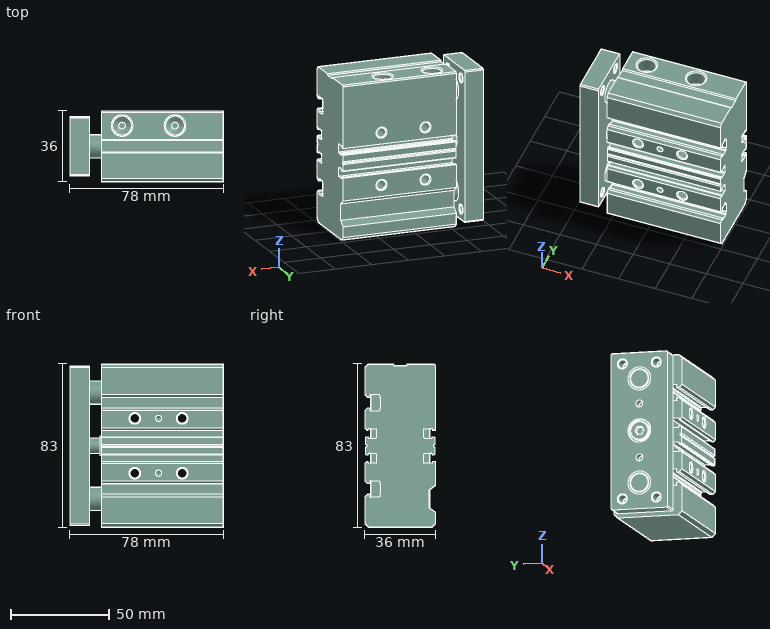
import cadquery as cq
import math


housing_length = 62.0
housing_width = 36.0
housing_height = 83.0
half_width = housing_width / 2
half_height = housing_height / 2

plate_gap = 6.0
plate_thickness = 10.05
plate_width = 30.05
plate_height = 81.0
plate_edge_chamfer = 0.7
plate_back = -plate_gap
plate_front = plate_back - plate_thickness

guide_offset = 27.0
guide_radius = 6.0
guide_ring_inner = 4.6
guide_ring_outer = 5.0
guide_ring_depth = 0.25
piston_radius = 4.0
rod_insertion = 41.5

head_radius = 4.9
head_height = 6.0
head_chamfer = 0.3
head_relief_radius = 6.0
head_relief_depth = 2.0
socket_across_corners = 4.6
socket_depth = 2.5

collar_radius = 5.0
collar_length = 0.8

slotted_side_top_chamfer = 1.7
plain_side_top_chamfer = 0.75
bottom_chamfer = 1.9

wide_slot_offset = 21.9
wide_mouth_half = 2.65
wide_mouth_chamfer = 1.4
wide_lip = 2.8
wide_inner_half = 4.15
wide_depth = 7.6
wide_corner_chamfer = 0.4
wide_floor_groove_half = 2.6
wide_floor_groove_depth = 0.4

rail_setback = 0.3
rail_half = 4.6
rail_edge_chamfer = 0.4
rail_lip_slope = 0.5
narrow_mouth_top = 7.9
narrow_mouth_chamfer = 1.2
narrow_lip = 1.7
narrow_inner_bottom = 3.8
narrow_inner_top = 8.6
narrow_depth = 6.1
narrow_corner_chamfer = 0.5
rail_notch_depth = 0.75
rail_notch_half = 0.75
rail_notch_floor_half = 0.3

top_groove_half = 3.5
top_groove_floor_half = 3.0
top_groove_depth = 0.75
side_groove_half = 6.9
side_groove_floor_half = 4.4
side_groove_depth = 3.3

drill_tip_angle = 120.0
cross_hole_level = 13.95
pin_hole_x = 29.0
cross_hole_spacing = 12.0
cross_hole_diameter = 4.9
cross_hole_mouth = 5.9
housing_pin_diameter = 3.15
plate_pin_diameter = 3.6
pin_hole_depth = 5.8
port_y = 10.5
port_positions = (10.45, 37.35)
port_mouth_diameter = 10.95
port_diameter = 9.6
port_depth = 8.3
port_bore_diameter = 3.4
port_bore_depth = 11.6
plate_bolt_y = 9.0
plate_bolt_z = 34.95
plate_bolt_diameter = 4.4
plate_bolt_mouth = 5.2


def along_x(points, x_start, x_end):
    """Prism of a (y, z) outline between two X positions."""
    return cq.Workplane("YZ").workplane(offset=x_start).polyline(points).close().extrude(x_end - x_start)


def rod_between(x_start, x_end, radius, z=0.0):
    """Cylinder parallel to X at height z."""
    return cq.Workplane("YZ").workplane(offset=x_start).center(0, z).circle(radius).extrude(x_end - x_start)


def drill(outline, position, direction):
    """Turned cutter: (radius, depth) points, entering at position along direction."""
    cutter = cq.Workplane("XZ").polyline([(0, 0), *outline]).close().revolve(360, (0, 0, 0), (0, 1, 0))
    return cutter.val().moved(cq.Location(cq.Plane(origin=position, normal=direction)))


def tip_length(diameter):
    """Length of a drill point of the given diameter."""
    return diameter / 2 / math.tan(math.radians(drill_tip_angle / 2))


def blind_outline(diameter, depth):
    """Straight hole that ends in a drill point."""
    return [(diameter / 2, 0), (diameter / 2, depth), (0, depth + tip_length(diameter))]


def chamfered_through_outline(diameter, mouth, depth):
    """Straight hole with a 45 degree chamfer at its entry and exit."""
    chamfer = (mouth - diameter) / 2
    return [
        (mouth / 2, 0),
        (diameter / 2, chamfer),
        (diameter / 2, depth - chamfer),
        (mouth / 2, depth),
        (0, depth),
    ]


def housing_block():
    """Extruded body with its corner chamfers."""
    outline = [
        (-half_width, -half_height + bottom_chamfer),
        (-half_width, half_height - slotted_side_top_chamfer),
        (-half_width + slotted_side_top_chamfer, half_height),
        (half_width - plain_side_top_chamfer, half_height),
        (half_width, half_height - plain_side_top_chamfer),
        (half_width, -half_height + bottom_chamfer),
        (half_width - bottom_chamfer, -half_height),
        (-half_width + bottom_chamfer, -half_height),
    ]
    return along_x(outline, 0, housing_length)


def wide_slot(level):
    """T-slot on the -Y side with a chamfered mouth and a shallow groove in its floor."""
    upper_half = [
        (0, wide_mouth_half + wide_mouth_chamfer),
        (wide_mouth_chamfer, wide_mouth_half),
        (wide_lip, wide_mouth_half),
        (wide_lip, wide_inner_half),
        (wide_depth - wide_corner_chamfer, wide_inner_half),
        (wide_depth, wide_inner_half - wide_corner_chamfer),
        (wide_depth, wide_floor_groove_half),
        (wide_depth + wide_floor_groove_depth, wide_floor_groove_half),
    ]
    lower_half = [(depth, -z) for depth, z in reversed(upper_half)]
    points = [(depth - half_width, level + z) for depth, z in upper_half + lower_half]
    return along_x(points, 0, housing_length)


def narrow_slot(side, direction, mouth_chamfer):
    """T-slot between the rail and the main face; side is the Y sign, direction the Z sign."""
    mouth = [(0, narrow_mouth_top)]
    if mouth_chamfer > 0:
        mouth = [(0, narrow_mouth_top + mouth_chamfer), (mouth_chamfer, narrow_mouth_top)]
    outline = mouth + [
        (narrow_lip, narrow_mouth_top),
        (narrow_lip, narrow_inner_top),
        (narrow_depth, narrow_inner_top),
        (narrow_depth, narrow_inner_bottom + narrow_corner_chamfer),
        (narrow_depth - narrow_corner_chamfer, narrow_inner_bottom),
        (narrow_lip + rail_lip_slope, narrow_inner_bottom),
        (narrow_lip, rail_half),
        (rail_setback + rail_edge_chamfer, rail_half),
        (rail_setback, rail_half - rail_edge_chamfer),
        (0, rail_half - rail_edge_chamfer),
    ]
    points = [(side * (half_width - depth), direction * z) for depth, z in outline]
    return along_x(points, 0, housing_length)


def rail_face(side):
    """Setback of the centre rail together with its tapered notch."""
    outline = [
        (0, rail_half),
        (rail_setback, rail_half),
        (rail_setback, rail_notch_half),
        (rail_setback + rail_notch_depth, rail_notch_floor_half),
        (rail_setback + rail_notch_depth, -rail_notch_floor_half),
        (rail_setback, -rail_notch_half),
        (rail_setback, -rail_half),
        (0, -rail_half),
    ]
    points = [(side * (half_width - depth), z) for depth, z in outline]
    return along_x(points, 0, housing_length)


def top_groove():
    """Shallow tapered groove along the top."""
    floor = half_height - top_groove_depth
    points = [
        (-top_groove_half, half_height),
        (top_groove_half, half_height),
        (top_groove_floor_half, floor),
        (-top_groove_floor_half, floor),
    ]
    return along_x(points, 0, housing_length)


def side_groove():
    """Tapered groove on the +Y side, level with the lower guide rod."""
    floor = half_width - side_groove_depth
    points = [
        (half_width, -guide_offset + side_groove_half),
        (half_width, -guide_offset - side_groove_half),
        (floor, -guide_offset - side_groove_floor_half),
        (floor, -guide_offset + side_groove_floor_half),
    ]
    return along_x(points, 0, housing_length)


def cut_cross_holes(body):
    """Mounting through holes and blind pin holes entering from the -Y side."""
    through = chamfered_through_outline(cross_hole_diameter, cross_hole_mouth, housing_width)
    blind = blind_outline(housing_pin_diameter, pin_hole_depth)
    for level in (cross_hole_level, -cross_hole_level):
        body = body.cut(drill(blind, (pin_hole_x, -half_width, level), (0, 1, 0)))
        for shift in (-cross_hole_spacing, cross_hole_spacing):
            body = body.cut(drill(through, (pin_hole_x + shift, -half_width, level), (0, 1, 0)))
    return body


def cut_ports(body):
    """Air ports on top: chamfered tapping hole, cone and a small bore below it."""
    mouth_radius = port_mouth_diameter / 2
    radius = port_diameter / 2
    bore_radius = port_bore_diameter / 2
    cone_end = port_depth + tip_length(port_diameter) - tip_length(port_bore_diameter)
    outline = [
        (mouth_radius, 0),
        (radius, mouth_radius - radius),
        (radius, port_depth),
        (bore_radius, cone_end),
        (bore_radius, port_bore_depth),
        (0, port_bore_depth),
    ]
    for x in port_positions:
        body = body.cut(drill(outline, (x, port_y, half_height), (0, 0, -1)))
    return body


def make_housing():
    """Slotted housing with its wiper collar, holes and rod bores."""
    body = housing_block()
    for level in (wide_slot_offset, -wide_slot_offset):
        body = body.cut(wide_slot(level))
    for side, mouth_chamfer in ((-1, narrow_mouth_chamfer), (1, 0)):
        body = body.cut(rail_face(side))
        for direction in (1, -1):
            body = body.cut(narrow_slot(side, direction, mouth_chamfer))
    body = body.cut(top_groove()).cut(side_groove())
    body = body.union(rod_between(-collar_length, rod_insertion, collar_radius))
    body = cut_ports(cut_cross_holes(body))
    body = body.cut(rod_between(-collar_length, rod_insertion, piston_radius))
    for z in (guide_offset, -guide_offset):
        body = body.cut(rod_between(0, rod_insertion, guide_radius, z))
    return body


def make_end_plate():
    """Plate carried by the three rods."""
    plate = (
        cq.Workplane("YZ").workplane(offset=plate_front)
        .rect(plate_width, plate_height).extrude(plate_thickness)
        .edges("|X").chamfer(plate_edge_chamfer)
    )
    bolt = chamfered_through_outline(plate_bolt_diameter, plate_bolt_mouth, plate_thickness)
    for y in (-plate_bolt_y, plate_bolt_y):
        for z in (-plate_bolt_z, plate_bolt_z):
            plate = plate.cut(drill(bolt, (plate_front, y, z), (1, 0, 0)))
    pin = blind_outline(plate_pin_diameter, pin_hole_depth)
    for z in (cross_hole_level, -cross_hole_level):
        plate = plate.cut(drill(pin, (plate_front, 0, z), (1, 0, 0)))
    for z in (guide_offset, -guide_offset):
        plate = plate.cut(rod_between(plate_front, plate_back, guide_radius, z))
    plate = plate.cut(rod_between(plate_front, plate_back, piston_radius))
    plate = plate.cut(rod_between(plate_front, plate_front + head_height, head_radius))
    return plate.cut(rod_between(plate_front, plate_front + head_relief_depth, head_relief_radius))


def make_guide_rod(z):
    """Guide rod, flush with the plate, with a fine V ring cut in its end."""
    rod = rod_between(plate_front, rod_insertion, guide_radius, z)
    ring_middle = (guide_ring_inner + guide_ring_outer) / 2
    ring = (
        cq.Workplane("XY")
        .polyline([
            (plate_front, guide_ring_inner),
            (plate_front, guide_ring_outer),
            (plate_front + guide_ring_depth, ring_middle),
        ])
        .close()
        .revolve(360, (0, 0, 0), (1, 0, 0))
        .translate((0, 0, z))
    )
    return rod.cut(ring)


def make_piston_rod():
    """Piston rod with a chamfered head and a hexagon socket."""
    head = rod_between(plate_front, plate_front + head_height, head_radius).faces("<X").chamfer(head_chamfer)
    shank = rod_between(plate_front + head_height, rod_insertion, piston_radius)
    socket = (
        cq.Workplane("YZ").workplane(offset=plate_front)
        .polygon(6, socket_across_corners).extrude(socket_depth)
    )
    return head.union(shank).cut(socket)


housing = make_housing()
end_plate = make_end_plate()
guide_rods = [make_guide_rod(z) for z in (guide_offset, -guide_offset)]
piston_rod = make_piston_rod()

result = cq.Compound.makeCompound([
    housing.val(),
    end_plate.val(),
    *[rod.val() for rod in guide_rods],
    piston_rod.val(),
])